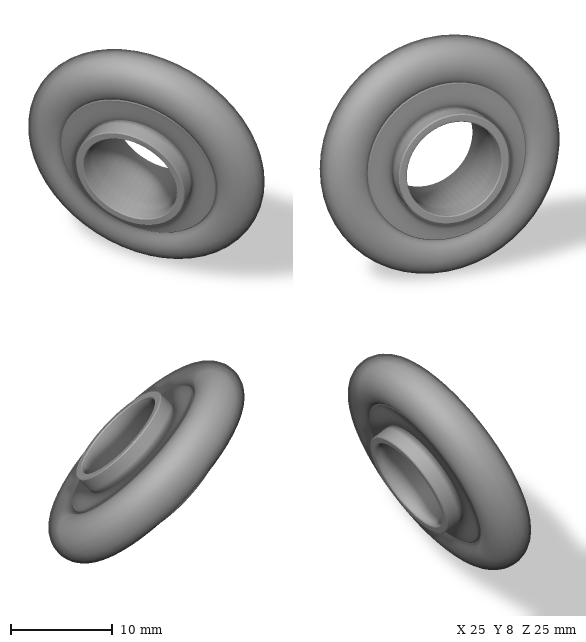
import cadquery as cq
import math

ring_outer_diameter = 25.0
ring_section_diameter = 5.0
ring_section_radius = ring_section_diameter / 2
ring_centre_radius = ring_outer_diameter / 2 - ring_section_radius
ring_inner_radius = ring_centre_radius - ring_section_radius

hub_length = 8.0
hub_diameter = 11.7
bore_diameter = 10.0
disc_thickness = 4.0
edge_chamfer = 0.1

disc_inner_radius = (hub_diameter + bore_diameter) / 4
disc_half_thickness = disc_thickness / 2

rim_half_thickness = disc_half_thickness - edge_chamfer
rim_radius = ring_centre_radius - math.sqrt(ring_section_radius**2 - rim_half_thickness**2)
disc_face_radius = rim_radius - edge_chamfer


def make_ring():
    """Full circular section revolved about the Y axis."""
    section = cq.Workplane("XY").center(ring_centre_radius, 0).circle(ring_section_radius)
    return section.revolve(360, (-ring_centre_radius, 0), (-ring_centre_radius, 1))


def make_hub():
    """Tube along Y with its bore and outer edges chamfered at both ends."""
    hub = cq.Workplane("XZ").circle(hub_diameter / 2).circle(bore_diameter / 2)
    hub = hub.extrude(hub_length / 2, both=True)
    return hub.faces("<Y or >Y").edges().chamfer(edge_chamfer)


def make_disc():
    """Disc with chamfered edges and a rounded rim groove that seats the ring."""
    profile = (
        cq.Workplane("XY")
        .moveTo(disc_inner_radius, -disc_half_thickness)
        .lineTo(disc_face_radius, -disc_half_thickness)
        .lineTo(rim_radius, -rim_half_thickness)
        .threePointArc((ring_inner_radius, 0), (rim_radius, rim_half_thickness))
        .lineTo(disc_face_radius, disc_half_thickness)
        .lineTo(disc_inner_radius, disc_half_thickness)
        .close()
    )
    return profile.revolve(360, (0, 0), (0, 1))


ring = make_ring()
wheel = make_hub().union(make_disc())

result = cq.Compound.makeCompound([ring.val(), *wheel.solids().vals()])